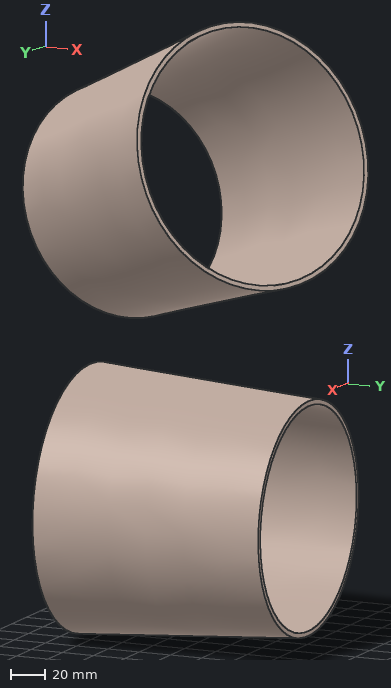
import cadquery as cq

large_diameter = 159.0
small_diameter = 139.7
wall = 3.0
length = 140.0


def cone(start_diameter, end_diameter):
    """Solid cone frustum from Y = 0 to Y = length, centred on the Y axis."""
    return cq.Workplane(
        cq.Solid.makeCone(
            start_diameter / 2,
            end_diameter / 2,
            length,
            pnt=cq.Vector(0, 0, 0),
            dir=cq.Vector(0, 1, 0),
        )
    )


outer_body = cone(large_diameter, small_diameter)
bore = cone(large_diameter - 2 * wall, small_diameter - 2 * wall)

result = outer_body.cut(bore)